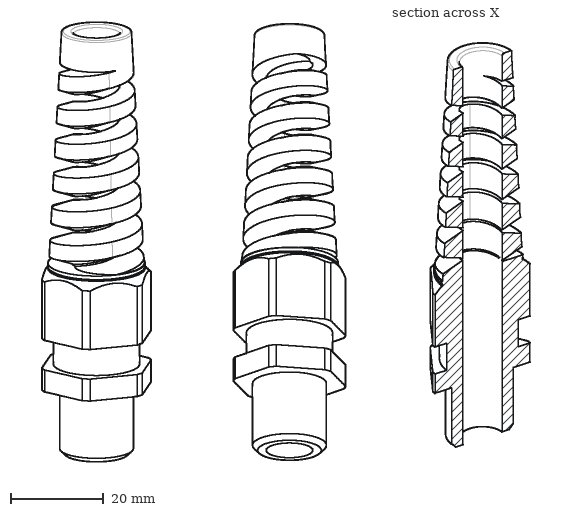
import cadquery as cq
import math

bore_diameter = 10.0
stem_diameter = 16.0
stem_chamfer = 1.1
rim_radius = 0.4
mouth_radius = 0.6

across_flats = 22.0
corner_diameter = 24.5
neck_diameter = 18.6
corner_bevel_angle = 45

total_height = 94.5
flange_bottom = 15.1
flange_top = 20.0
nut_bottom = 26.65
nut_top = 41.5
collar_bottom = 41.8
sleeve_bottom = 42.6
cap_bottom = 87.5

collar_radius = 10.5
recess_radius = 10.3
base_radius = 10.3
tip_radius = 7.6
taper = (base_radius - tip_radius) / (total_height - sleeve_bottom)
taper_angle = math.degrees(math.atan(taper))

slot_pitch = 7.5
slot_turns = 8
slot_start = 37.0
slot_width = 4.0
slot_depth = 5.0
slot_overshoot = 0.9
flank_angle = 19.5


def cylinder(diameter, bottom, top):
    return cq.Workplane("XY").workplane(offset=bottom).circle(diameter / 2).extrude(top - bottom)


def hexagon(bottom, top):
    """Hexagon with corners along Y, rounded to the corner diameter."""
    across_corners = across_flats / math.cos(math.pi / 6)
    prism = (
        cq.Workplane("XY")
        .workplane(offset=bottom)
        .transformed(rotate=(0, 0, 90))
        .polygon(6, across_corners)
        .extrude(top - bottom)
    )
    return prism.intersect(cylinder(corner_diameter, bottom, top))


def beveled_nut():
    """Upper hexagon, its top corners turned down to the collar."""
    outer = corner_diameter / 2
    bevel_drop = (outer - collar_radius) * math.tan(math.radians(corner_bevel_angle))
    envelope = (
        cq.Workplane("XZ")
        .polyline([
            (0, nut_bottom),
            (outer, nut_bottom),
            (outer, nut_top - bevel_drop),
            (collar_radius, nut_top),
            (0, nut_top),
        ])
        .close()
        .revolve(360, (0, 0), (0, 1))
    )
    return hexagon(nut_bottom, nut_top).intersect(envelope)


def tapered_sleeve():
    """Bored cone with a rounded rim and a rounded bore mouth."""
    cone = (
        cq.Workplane("XY")
        .workplane(offset=sleeve_bottom)
        .circle(base_radius)
        .workplane(offset=total_height - sleeve_bottom)
        .circle(tip_radius)
        .loft()
    )
    rounded = cone.faces(">Z").edges().fillet(rim_radius)
    bored = rounded.cut(bore)
    return bored.faces(">Z").edges(cq.selectors.RadiusNthSelector(0)).fillet(mouth_radius)


def helical_slot():
    start_radius = base_radius + taper * (sleeve_bottom - slot_start)
    path = cq.Wire.makeHelix(
        slot_pitch / math.cos(math.radians(taper_angle)),
        slot_pitch * slot_turns,
        start_radius,
        angle=-taper_angle,
    ).translate(cq.Vector(0, 0, slot_start))
    spread = math.tan(math.radians(flank_angle))
    outer_half = slot_width / 2 + slot_overshoot * spread
    inner_half = slot_width / 2 - slot_depth * spread
    outer_radius = start_radius + slot_overshoot
    inner_radius = start_radius - slot_depth
    sweep = (
        cq.Workplane("XZ")
        .polyline([
            (inner_radius, slot_start - inner_half),
            (outer_radius, slot_start - outer_half),
            (outer_radius, slot_start + outer_half),
            (inner_radius, slot_start + inner_half),
        ])
        .close()
        .sweep(cq.Workplane(path), isFrenet=True)
    )
    return sweep.intersect(cylinder(4 * collar_radius, sleeve_bottom, cap_bottom))


stem = cylinder(stem_diameter, 0, flange_bottom).faces("<Z").edges().chamfer(stem_chamfer)
recess = cylinder(2 * recess_radius, nut_top, collar_bottom)
collar = cylinder(2 * collar_radius, collar_bottom, sleeve_bottom)
neck = cylinder(neck_diameter, flange_top, nut_bottom)
bore = cylinder(bore_diameter, 0, total_height)

sleeve = tapered_sleeve().cut(helical_slot())
fitting = (
    stem.union(hexagon(flange_bottom, flange_top))
    .union(neck)
    .union(beveled_nut())
    .union(recess)
    .union(collar)
)
result = fitting.cut(bore).union(sleeve)